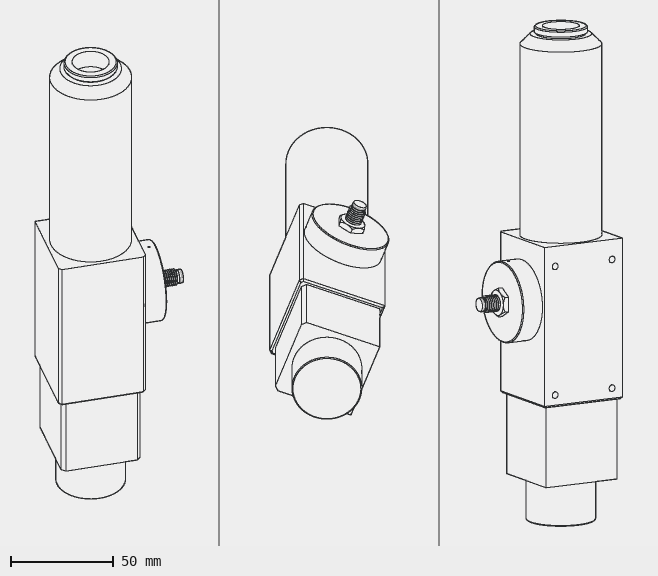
import cadquery as cq
import math

BLOCK_WIDTH = 44.0
BLOCK_HEIGHT = 80.0
BLOCK_CORNER_CHAMFER = 1.5
BLOCK_BOTTOM_CHAMFER = 1.0
LOWER_WIDTH = 40.0
LOWER_HEIGHT = 40.0
LOWER_CORNER_CHAMFER = 2.0

BASE_DIAMETER = 34.0
BASE_HEIGHT = 21.5
BASE_CHAMFER = 0.5

BARREL_DIAMETER = 40.0
BARREL_LENGTH = 95.0
SHOULDER_CHAMFER = 5.0
RIM_DIAMETER = 26.0
RIM_HEIGHT = 4.0
RIM_TOP_CHAMFER = 0.6
RIM_BOTTOM_CHAMFER = 1.0
BORE_DIAMETER = 18.0
BORE_DEPTH = 9.0

HUB_DIAMETER = 40.0
HUB_LENGTH = 11.0
HUB_CHAMFER = 0.5
HUB_TOP_MARGIN = 10.0
PIN_HOLE_DIAMETER = 1.0
PIN_HOLE_DEPTH = 2.0
PIN_HOLE_SETBACK = 3.5

NUT_ACROSS_FLATS = 12.4
NUT_THICKNESS = 3.0
THREAD_DIAMETER = 8.2
THREAD_ROOT_DIAMETER = 6.9
THREAD_PITCH = 1.0
THREAD_TURNS = 7
NECK_GAP_DIAMETER = 6.0
NECK_GAP_LENGTH = 1.1
TIP_DIAMETER = 6.9
TIP_END_DIAMETER = 6.5
TIP_TAPER_LENGTH = 0.9
CONNECTOR_LENGTH = 10.0

MOUNT_HOLE_DIAMETER = 3.24
MOUNT_HOLE_DEPTH = 6.0
MOUNT_SPACING_Y = 32.0
MOUNT_SPACING_Z = 64.0
MOUNT_TOP_MARGIN = 10.0

LOWER_BOTTOM = BASE_HEIGHT
BLOCK_BOTTOM = LOWER_BOTTOM + LOWER_HEIGHT
BLOCK_TOP = BLOCK_BOTTOM + BLOCK_HEIGHT
HUB_CENTER_Z = BLOCK_TOP - HUB_TOP_MARGIN - HUB_DIAMETER / 2
HUB_END = BLOCK_WIDTH / 2 + HUB_LENGTH
NUT_END = HUB_END + NUT_THICKNESS


def square_block(width, height, bottom, corner_chamfer):
    """Square block on the Z axis with its two +X upright edges chamfered."""
    block = cq.Workplane("XY", origin=(0, 0, bottom)).rect(width, width).extrude(height)
    return block.edges("|Z and >X").chamfer(corner_chamfer)


def make_body():
    block = square_block(BLOCK_WIDTH, BLOCK_HEIGHT, BLOCK_BOTTOM, BLOCK_CORNER_CHAMFER)
    block = block.faces("<Z").chamfer(BLOCK_BOTTOM_CHAMFER)
    lower = square_block(LOWER_WIDTH, LOWER_HEIGHT, LOWER_BOTTOM, LOWER_CORNER_CHAMFER)
    base = cq.Workplane("XY").circle(BASE_DIAMETER / 2).extrude(BASE_HEIGHT)
    base = base.faces("<Z").chamfer(BASE_CHAMFER)
    return block.union(lower).union(base)


def make_barrel():
    """Barrel with a conical shoulder, a rim chamfered at both ends and a blind bore in the top."""
    barrel_height = BARREL_LENGTH + SHOULDER_CHAMFER
    barrel = cq.Workplane("XY", origin=(0, 0, BLOCK_TOP)).circle(BARREL_DIAMETER / 2).extrude(barrel_height)
    barrel = barrel.faces(">Z").chamfer(SHOULDER_CHAMFER)
    rim_bottom = BLOCK_TOP + barrel_height
    rim = cq.Workplane("XY", origin=(0, 0, rim_bottom)).circle(RIM_DIAMETER / 2).extrude(RIM_HEIGHT)
    rim = rim.faces(">Z").chamfer(RIM_TOP_CHAMFER)
    rim = rim.faces("<Z").chamfer(RIM_BOTTOM_CHAMFER)
    return barrel.union(rim).faces(">Z").workplane().hole(BORE_DIAMETER, BORE_DEPTH)


def hub_axis_plane(y):
    """Plane facing +Y, centred on the hub axis."""
    return cq.Workplane(cq.Plane(origin=(0, y, HUB_CENTER_Z), xDir=(1, 0, 0), normal=(0, 1, 0)))


def make_hub():
    hub = hub_axis_plane(BLOCK_WIDTH / 2).circle(HUB_DIAMETER / 2).extrude(HUB_LENGTH)
    hub = hub.faces(">Y").chamfer(HUB_CHAMFER)
    hub_top = HUB_CENTER_Z + HUB_DIAMETER / 2
    pin_start = cq.Workplane("XY", origin=(0, HUB_END - PIN_HOLE_SETBACK, hub_top))
    return hub.cut(pin_start.circle(PIN_HOLE_DIAMETER / 2).extrude(-PIN_HOLE_DEPTH))


def make_nut():
    """Hexagon nut with corners at +Z and -Z, its outer face bevelled to a circle."""
    corner_diameter = NUT_ACROSS_FLATS / math.cos(math.pi / 6)
    bevel = (corner_diameter - NUT_ACROSS_FLATS) / 2
    hexagon = hub_axis_plane(HUB_END).transformed(rotate=(0, 0, 90))
    nut = hexagon.polygon(6, corner_diameter).extrude(NUT_THICKNESS)
    envelope = hub_axis_plane(HUB_END).circle(corner_diameter / 2).extrude(NUT_THICKNESS)
    return nut.intersect(envelope.faces(">Y").chamfer(bevel))


def make_connector():
    """Stem with ring-shaped thread crests, a groove and a tapered tip."""
    crest = THREAD_DIAMETER / 2
    root = THREAD_ROOT_DIAMETER / 2
    gap = NECK_GAP_DIAMETER / 2
    tip = TIP_DIAMETER / 2
    thread_length = THREAD_PITCH * THREAD_TURNS
    outline = [(0, 0), (root, 0)]
    for turn in range(THREAD_TURNS):
        start = turn * THREAD_PITCH
        outline.append((crest, start + THREAD_PITCH / 2))
        outline.append((root, start + THREAD_PITCH))
    outline += [
        (gap, thread_length),
        (gap, thread_length + NECK_GAP_LENGTH),
        (tip, thread_length + NECK_GAP_LENGTH),
        (tip, CONNECTOR_LENGTH - TIP_TAPER_LENGTH),
        (TIP_END_DIAMETER / 2, CONNECTOR_LENGTH),
        (0, CONNECTOR_LENGTH),
    ]
    profile = cq.Workplane("XY", origin=(0, NUT_END, HUB_CENTER_Z)).polyline(outline).close()
    return profile.revolve(360, (0, 0), (0, 1))


def mounting_holes():
    center_z = BLOCK_TOP - MOUNT_TOP_MARGIN - MOUNT_SPACING_Z / 2
    face = cq.Workplane("YZ", origin=(-BLOCK_WIDTH / 2, 0, center_z))
    centers = face.rect(MOUNT_SPACING_Y, MOUNT_SPACING_Z, forConstruction=True).vertices()
    return centers.circle(MOUNT_HOLE_DIAMETER / 2).extrude(MOUNT_HOLE_DEPTH)


result = make_body().union(make_barrel()).union(make_hub())
result = result.union(make_nut()).union(make_connector())
result = result.cut(mounting_holes())